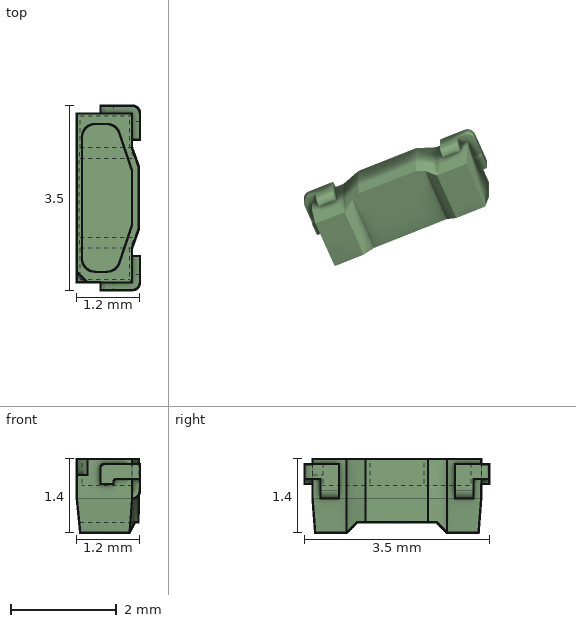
import cadquery as cq

base_height = 0.65
block_height = 0.75
top_z = base_height + block_height
width = 1.05
half_length = 1.6
bulge_depth = 0.13
crest_x = width + bulge_depth
bulge_half_root = 0.95
bulge_half_crest = 0.59

back_taper = 0.065
front_taper = 0.05
end_taper = 0.05
crest_taper = 0.01

notch_half_mouth = 0.95
notch_height = 0.2

mark_leg = 0.2
mark_depth = 0.3

lens_back_x = 0.1
lens_front_x = width
lens_end_x = 0.75
lens_half_length = 1.4
lens_half_crest = 0.51
lens_corner_radius = 0.25
lens_depth = 0.5

lead_thickness = 0.15
lead_top_z = top_z - 0.1
arm_bottom_z = top_z - 0.38
arm_back_x = 0.45
arm_corner_radius = 0.07
foot_bottom_z = top_z - 0.475
foot_width = 0.25
foot_inner_radius = 0.05
pad_length = 0.35
pad_inner_y = 1.1
pad_edge_radius = lead_thickness

lead_front_x = width + lead_thickness
lead_outer_y = half_length + lead_thickness


def housing_outline(back_x, front_x, bulge_x, half_y):
    """Corners of the housing section, with the bulge on the +X side."""
    return [
        (back_x, -half_y),
        (front_x, -half_y),
        (front_x, -bulge_half_root),
        (bulge_x, -bulge_half_crest),
        (bulge_x, bulge_half_crest),
        (front_x, bulge_half_root),
        (front_x, half_y),
        (back_x, half_y),
    ]


block_outline = housing_outline(0, width, crest_x, half_length)


def make_block():
    block = (
        cq.Workplane("XY", origin=(0, 0, base_height))
        .polyline(block_outline)
        .close()
        .extrude(block_height)
    )
    mark = (
        cq.Workplane("XY", origin=(0, -half_length, top_z))
        .polyline([(0, 0), (mark_leg, 0), (0, mark_leg)])
        .close()
        .extrude(-mark_depth)
    )
    return block.cut(mark)


def make_base():
    underside = housing_outline(
        back_taper,
        width - front_taper,
        crest_x - crest_taper,
        half_length - end_taper,
    )
    base = (
        cq.Workplane("XY")
        .polyline(underside)
        .close()
        .workplane(offset=base_height)
        .polyline(block_outline)
        .close()
        .loft(ruled=True)
    )
    notch_half_roof = notch_half_mouth - notch_height
    notch = (
        cq.Workplane("YZ")
        .polyline([
            (-notch_half_mouth, 0),
            (notch_half_mouth, 0),
            (notch_half_roof, notch_height),
            (-notch_half_roof, notch_height),
        ])
        .close()
        .extrude(crest_x)
    )
    return base.cut(notch)


def make_lead(side):
    """One lead; side is -1 for the -Y end and 1 for the +Y end."""
    foot_front_x = arm_back_x + foot_width
    end_plate = (
        cq.Workplane("XZ", origin=(0, half_length, 0))
        .polyline([
            (arm_back_x, foot_bottom_z),
            (foot_front_x, foot_bottom_z),
            (foot_front_x, arm_bottom_z),
            (lead_front_x, arm_bottom_z),
            (lead_front_x, lead_top_z),
            (arm_back_x, lead_top_z),
        ])
        .close()
        .extrude(-lead_thickness)
    )
    foot_inner_edge = cq.selectors.NearestToPointSelector(
        (foot_front_x, half_length + lead_thickness / 2, arm_bottom_z)
    )
    end_plate = end_plate.faces("<X").edges(">Z").fillet(arm_corner_radius)
    end_plate = end_plate.edges(foot_inner_edge).fillet(foot_inner_radius)

    band = cq.Workplane("XY").box(
        lead_thickness, lead_outer_y - pad_inner_y, lead_top_z - arm_bottom_z, centered=False
    ).translate((width, pad_inner_y, arm_bottom_z))

    pad = cq.Workplane("XY").box(
        2 * lead_thickness, pad_length, lead_top_z - base_height, centered=False
    ).translate((width - lead_thickness, pad_inner_y, base_height))
    pad = pad.faces(">X").edges("<Z").fillet(pad_edge_radius)

    lead = end_plate.union(band)
    bend_edge = cq.selectors.NearestToPointSelector(
        (lead_front_x, lead_outer_y, (lead_top_z + arm_bottom_z) / 2)
    )
    lead = lead.edges(bend_edge).fillet(lead_thickness)
    lead = lead.union(pad)
    return lead if side > 0 else lead.mirror("XZ")


def make_lens():
    return (
        cq.Workplane("XY", origin=(0, 0, top_z))
        .polyline([
            (lens_back_x, -lens_half_length),
            (lens_end_x, -lens_half_length),
            (lens_front_x, -lens_half_crest),
            (lens_front_x, lens_half_crest),
            (lens_end_x, lens_half_length),
            (lens_back_x, lens_half_length),
        ])
        .close()
        .extrude(-lens_depth)
        .faces("<Y or >Y")
        .edges("|Z")
        .fillet(lens_corner_radius)
    )


lens = make_lens()
housing = make_block().union(make_base()).cut(lens)
for side in (-1, 1):
    housing = housing.union(make_lead(side))

result = cq.Compound.makeCompound([housing.val(), lens.val()])